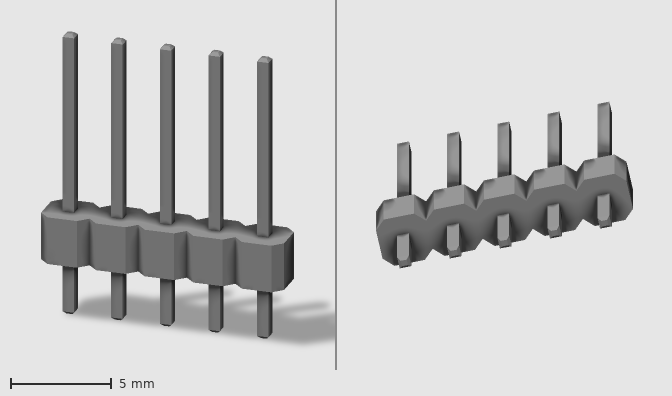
import cadquery as cq

pin_count = 5
pitch = 2.54

housing_height = 2.5
housing_corner_cut = 0.5

pin_width = 0.6
pin_length = 15.0
pin_below_housing = 3.0
pin_end_chamfer = 0.15


def make_housing_block():
    """Octagonal block resting on Z = 0, centred on the Z axis."""
    return (
        cq.Workplane("XY")
        .rect(pitch, pitch)
        .extrude(housing_height)
        .edges("|Z")
        .chamfer(housing_corner_cut)
    )


def make_pin():
    """Square pin along Z, tapered at both ends."""
    return (
        cq.Workplane("XY")
        .workplane(offset=-pin_below_housing)
        .rect(pin_width, pin_width)
        .extrude(pin_length)
        .faces("<Z or >Z")
        .chamfer(pin_end_chamfer)
    )


def make_header_segment(center_x):
    """One header segment, block and pin in one solid, centred at center_x."""
    segment = make_housing_block().union(make_pin())
    return segment.translate((center_x, 0, 0)).solids()


first_pin_x = -pitch * (pin_count - 1) / 2
header_segments = []
for index in range(pin_count):
    header_segments.append(make_header_segment(first_pin_x + index * pitch))

result = cq.Compound.makeCompound([segment.val() for segment in header_segments])